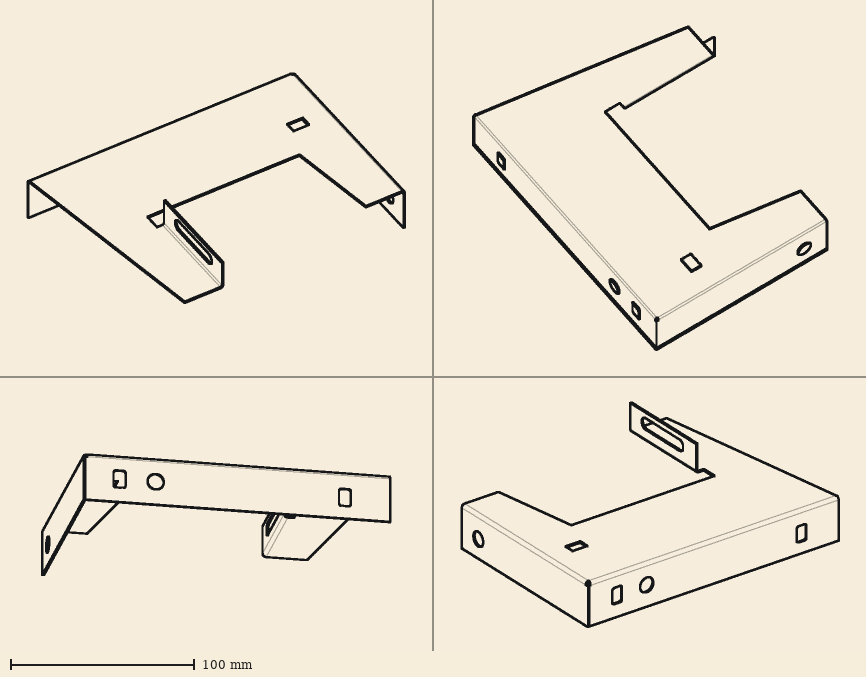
import cadquery as cq

THICKNESS = 1.0
INNER_RADIUS = 1.0
OUTER_RADIUS = INNER_RADIUS + THICKNESS
CORNER_GAP = 0.1

WIDTH = 130.0
DEPTH = 170.13
HEIGHT = 44.03
PLATE_TOP = 27.03
PLATE_BOTTOM = PLATE_TOP - THICKNESS

REAR_ARM_END_X = 115.0
THROAT_X = 60.0
ARM_SLOPE = 20.13 / WIDTH
THROAT_REAR_Y = 136.7
RELIEF_Y = 39.5

TAB_START_X = 70.0
TAB_BACK_Y = 44.87
SLOT_CENTER_X = 100.5
SLOT_CENTER_Z = 37.0
SLOT_LENGTH = 38
SLOT_WIDTH = 7

ROUND_HOLE_DIAMETER = 9.0
REAR_HOLE_X = 100.0
REAR_HOLE_Z = 12.0
SIDE_HOLE_Y = DEPTH - 40.0
SIDE_HOLE_Z = 13.4

WINDOW_WIDTH = 6.7
WINDOW_LENGTH = 10.0
WINDOW_CORNER_RADIUS = 1.5
PLATE_WINDOW_X = 38.6
PLATE_WINDOW_Y = DEPTH - 21.0
SIDE_WINDOWS = [(DEPTH - 20.0, 13.4), (DEPTH - 145.0, 12.3)]

SIDE_BEND_X = OUTER_RADIUS
REAR_BEND_Y = DEPTH - OUTER_RADIUS
TAB_BEND_Y = TAB_BACK_Y - OUTER_RADIUS


def box(x_range, y_range, z_range):
    """Box spanning the given (start, end) ranges."""
    spans = [end - start for start, end in (x_range, y_range, z_range)]
    corner = (x_range[0], y_range[0], z_range[0])
    return cq.Workplane("XY", origin=corner).box(*spans, centered=False)


def bend(axis_start, direction, length, quadrant):
    """Quarter of a tube around a bend axis, limited to the quadrant box."""
    start = cq.Vector(*axis_start)
    axis = cq.Vector(*direction)
    outer = cq.Solid.makeCylinder(OUTER_RADIUS, length, start, axis)
    inner = cq.Solid.makeCylinder(INNER_RADIUS, length, start, axis)
    return quadrant.intersect(cq.Workplane(outer.cut(inner)))


def plate():
    rear_arm_end_y = THROAT_REAR_Y + ARM_SLOPE * (REAR_ARM_END_X - THROAT_X)
    outline = [
        (SIDE_BEND_X, ARM_SLOPE * SIDE_BEND_X),
        (WIDTH, ARM_SLOPE * WIDTH),
        (WIDTH, TAB_BEND_Y),
        (TAB_START_X, TAB_BEND_Y),
        (TAB_START_X, RELIEF_Y),
        (THROAT_X, RELIEF_Y),
        (THROAT_X, THROAT_REAR_Y),
        (REAR_ARM_END_X, rear_arm_end_y),
        (REAR_ARM_END_X, REAR_BEND_Y),
        (SIDE_BEND_X, REAR_BEND_Y),
    ]
    sheet = cq.Workplane("XY", origin=(0, 0, PLATE_BOTTOM)).polyline(outline).close().extrude(THICKNESS)
    window = (
        cq.Workplane("XY", origin=(PLATE_WINDOW_X, PLATE_WINDOW_Y, PLATE_BOTTOM))
        .rect(WINDOW_WIDTH, WINDOW_LENGTH)
        .extrude(THICKNESS)
    )
    return sheet.cut(window)


def side_flange():
    """Downward flange along x = 0, with its bend, one round hole and two windows."""
    axis_z = PLATE_TOP - OUTER_RADIUS
    wall = box((0, THICKNESS), (0, DEPTH - THICKNESS - CORNER_GAP), (0, axis_z))
    quadrant = box((0, SIDE_BEND_X), (0, REAR_BEND_Y), (axis_z, PLATE_TOP))
    curve = bend((SIDE_BEND_X, 0, axis_z), (0, 1, 0), REAR_BEND_Y, quadrant)
    hole = (
        cq.Workplane("YZ")
        .center(SIDE_HOLE_Y, SIDE_HOLE_Z)
        .circle(ROUND_HOLE_DIAMETER / 2)
        .extrude(THICKNESS)
    )
    windows = (
        cq.Workplane("YZ")
        .pushPoints(SIDE_WINDOWS)
        .rect(WINDOW_WIDTH, WINDOW_LENGTH)
        .extrude(THICKNESS)
        .edges("|X")
        .fillet(WINDOW_CORNER_RADIUS)
    )
    return wall.union(curve).cut(hole).cut(windows)


def rear_flange():
    """Downward flange along the rear edge, with its bend and one round hole."""
    axis_z = PLATE_TOP - OUTER_RADIUS
    wall = box((0, REAR_ARM_END_X), (DEPTH - THICKNESS, DEPTH), (0, axis_z))
    quadrant = box((SIDE_BEND_X, REAR_ARM_END_X), (REAR_BEND_Y, DEPTH), (axis_z, PLATE_TOP))
    bend_length = REAR_ARM_END_X - SIDE_BEND_X
    curve = bend((SIDE_BEND_X, REAR_BEND_Y, axis_z), (1, 0, 0), bend_length, quadrant)
    hole = (
        cq.Workplane("XZ", origin=(REAR_HOLE_X, DEPTH, REAR_HOLE_Z))
        .circle(ROUND_HOLE_DIAMETER / 2)
        .extrude(THICKNESS)
    )
    return wall.union(curve).cut(hole)


def slotted_tab():
    """Upward tab on the front arm, with its bend and a long slot."""
    axis_z = PLATE_BOTTOM + OUTER_RADIUS
    tab_x = (TAB_START_X, WIDTH)
    wall = box(tab_x, (TAB_BACK_Y - THICKNESS, TAB_BACK_Y), (axis_z, HEIGHT))
    quadrant = box(tab_x, (TAB_BEND_Y, TAB_BACK_Y), (PLATE_BOTTOM, axis_z))
    curve = bend((TAB_START_X, TAB_BEND_Y, axis_z), (1, 0, 0), WIDTH - TAB_START_X, quadrant)
    slot = (
        cq.Workplane("XZ", origin=(SLOT_CENTER_X, TAB_BACK_Y, SLOT_CENTER_Z))
        .slot2D(SLOT_LENGTH, SLOT_WIDTH)
        .extrude(THICKNESS)
    )
    return wall.union(curve).cut(slot)


result = plate().union(side_flange()).union(rear_flange()).union(slotted_tab())